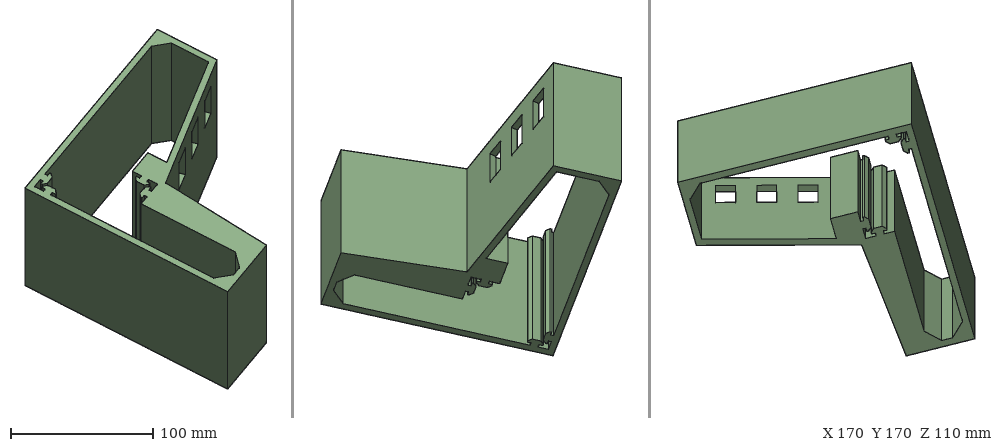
import cadquery as cq
import math

side = 170.0
height = 110.0
wall = 5.0
end_width = 50.0
elbow_x = 80.0
elbow_y = 58.0

cavity_chamfer = 10.0
elbow_wall = 4.0
step_x = elbow_x - elbow_wall
step_y = elbow_y - elbow_wall
rail_seat = 21.0
block_height = 19.9

neck_width = 6.0
neck_depth = 2.2
head_width = 11.4
head_depth = 3.7
head_lip = 1.2
head_chamfer = head_depth - head_lip
rail_offset = 10.4

window_count = 3
window_width = 14.0
window_height = 30.3
window_pitch = 28.9
first_window = 20.5
window_top_gap = 14.0
cutter_depth = 4 * wall

slope_x = elbow_x - end_width
slope_y = side - elbow_y
slope_length = math.hypot(slope_x, slope_y)
slope_angle = math.degrees(math.atan2(-slope_y, slope_x))
wall_across = wall * slope_length / slope_y


def sloping_face_x(y):
    """X of the sloping wall's cavity face at a given Y."""
    return end_width + (side - y) * slope_x / slope_y - wall_across


def make_body():
    outline = [
        (0, 0),
        (side, 0),
        (side, end_width),
        (elbow_x, elbow_y),
        (end_width, side),
        (0, side),
    ]
    return cq.Workplane("XY").polyline(outline).close().extrude(height)


def make_cavity():
    far = side - wall
    seat_y = step_y - rail_seat
    block_top = step_y + block_height
    outline = [
        (wall, wall),
        (far - cavity_chamfer, wall),
        (far, wall + cavity_chamfer),
        (far, seat_y - cavity_chamfer),
        (far - cavity_chamfer, seat_y),
        (step_x, seat_y),
        (step_x, step_y),
        (step_x - rail_seat, step_y),
        (step_x - rail_seat, block_top),
        (sloping_face_x(block_top), block_top),
        (sloping_face_x(far), far),
        (wall + cavity_chamfer, far),
        (wall, far - cavity_chamfer),
    ]
    return cq.Workplane("XY").polyline(outline).close().extrude(height)


def make_rail(x, y, angle):
    """T-rail rooted at (x, y), growing along +X turned by the given angle."""
    half_neck = neck_width / 2
    half_head = head_width / 2
    tip = neck_depth + head_depth
    outline = [
        (-wall / 2, -half_neck),
        (neck_depth, -half_neck),
        (neck_depth, -half_head),
        (neck_depth + head_lip, -half_head),
        (tip, -half_head + head_chamfer),
        (tip, half_head - head_chamfer),
        (neck_depth + head_lip, half_head),
        (neck_depth, half_head),
        (neck_depth, half_neck),
        (-wall / 2, half_neck),
    ]
    rail = cq.Workplane("XY").polyline(outline).close().extrude(height)
    return rail.rotate((0, 0, 0), (0, 0, 1), angle).translate((x, y, 0))


def make_window(distance):
    """Window cutter centred at a distance down the slope from the end face."""
    cutter = cq.Workplane("XY").box(window_width, cutter_depth, window_height)
    cutter = cutter.translate((distance, 0, 0))
    cutter = cutter.rotate((0, 0, 0), (0, 0, 1), slope_angle)
    centre_z = height - window_top_gap - window_height / 2
    return cutter.translate((end_width, side, centre_z))


result = make_body().cut(make_cavity())

rail_places = [
    (wall, wall + rail_offset, 0),
    (wall + rail_offset, wall, 90),
    (step_x, step_y - rail_seat / 2, 180),
    (step_x - rail_seat / 2, step_y, 270),
]
for x, y, angle in rail_places:
    result = result.union(make_rail(x, y, angle))

for index in range(window_count):
    result = result.cut(make_window(first_window + index * window_pitch))